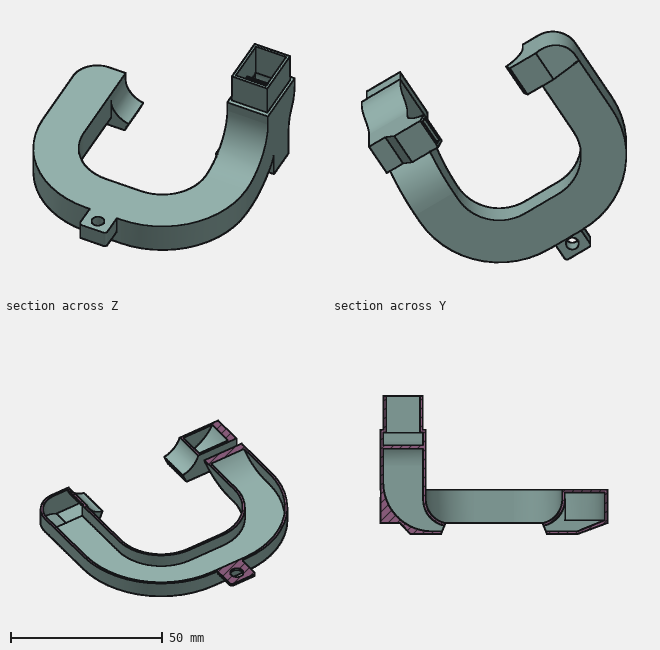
import cadquery as cq
import math


overall_width = 75.0
arm_width = 15.0
arm_height = 11.0
arm_end_y = 62.5
outer_radius = 31.0
end_corner_radius = 8.85
wall = 1.0

riser_length = 20.0
riser_overhang = 4.5
collar_height = 3.8
socket_height = 11.2
socket_step_y = 1.5
vane_thickness = 0.7
vane_shift = 5.6
vane_drop = 15.0

sweep_start_y = 33.75
sweep_radius = 22.8

nozzle_length = 11.0
nozzle_depth = 3.7
nozzle_reach = 6.5
nozzle_lip_reach = 5.0
nozzle_floor_reach = 5.1
right_slope_reach = 8.6
nozzle_bend_radius = 8.0

tab_width = 10.0
tab_length = 8.0
tab_height = 6.2
tab_corner_radius = 1.0
tab_hole_diameter = 4.2

half_width = overall_width / 2
arm_inner_x = half_width - arm_width
arm_middle_x = half_width - arm_width / 2
cavity_width = arm_width - 2 * wall
riser_back_y = arm_end_y + riser_overhang
riser_front_y = riser_back_y - riser_length
riser_middle_y = riser_back_y - riser_length / 2
riser_bend_radius = riser_front_y - outer_radius
bend_top_z = arm_height + riser_bend_radius
riser_top_z = bend_top_z + collar_height
nozzle_bend_z = math.sqrt(nozzle_bend_radius**2 - (nozzle_bend_radius - nozzle_reach) ** 2)
nozzle_floor_z = wall - nozzle_depth
chamber_back_y = arm_end_y - wall
chamber_front_y = arm_end_y - nozzle_length + wall


def arc_point(center, radius, degrees):
    """Point on a circle, with the angle counted from the first axis."""
    angle = math.radians(degrees)
    return center[0] + radius * math.cos(angle), center[1] + radius * math.sin(angle)


def u_channel(inset):
    """U-shaped channel, shrunk on every side by an inset."""
    end_y = arm_end_y - inset
    center_x = half_width - outer_radius
    left = (-center_x, outer_radius)
    right = (center_x, outer_radius)
    big = outer_radius - inset
    small = outer_radius - arm_width + inset
    return (
        cq.Workplane("XY", origin=(0, 0, inset))
        .moveTo(-half_width + inset, end_y)
        .lineTo(*arc_point(left, big, 180))
        .threePointArc(arc_point(left, big, 225), arc_point(left, big, 270))
        .lineTo(*arc_point(right, big, 270))
        .threePointArc(arc_point(right, big, 315), arc_point(right, big, 0))
        .lineTo(half_width - inset, end_y)
        .lineTo(arm_inner_x + inset, end_y)
        .lineTo(*arc_point(right, small, 0))
        .threePointArc(arc_point(right, small, 315), arc_point(right, small, 270))
        .lineTo(*arc_point(left, small, 270))
        .threePointArc(arc_point(left, small, 225), arc_point(left, small, 180))
        .lineTo(-arm_inner_x - inset, end_y)
        .close()
        .extrude(arm_height - 2 * inset)
    )


def left_corner_waste(inset):
    """Material outside the rounded rear corner of the left arm."""
    radius = end_corner_radius - inset
    center = (end_corner_radius - half_width, arm_end_y - end_corner_radius)
    return (
        cq.Workplane("XY", origin=(0, 0, -nozzle_depth))
        .moveTo(*arc_point(center, radius, 90))
        .threePointArc(arc_point(center, radius, 135), arc_point(center, radius, 180))
        .lineTo(center[0] - radius, center[1] + radius)
        .close()
        .extrude(nozzle_depth + arm_height)
    )


def side_sketch(side, back_y):
    """XZ plane at an arm's inner face, first axis pointing outward (side: -1 left, 1 right)."""
    return cq.Workplane(
        cq.Plane(origin=(side * arm_inner_x, back_y, 0), xDir=(side, 0, 0), normal=(0, -side, 0))
    )


def nozzle_body(side, slope_reach):
    """Nozzle curving out of the arm's inner face, with a sloped underside."""
    bend = (-nozzle_bend_radius, nozzle_bend_z)
    tip_angle = -math.degrees(math.acos((nozzle_bend_radius - nozzle_reach) / nozzle_bend_radius))
    return (
        side_sketch(side, arm_end_y)
        .moveTo(*arc_point(bend, nozzle_bend_radius, tip_angle))
        .lineTo(-nozzle_lip_reach, -nozzle_depth)
        .lineTo(nozzle_floor_reach, -nozzle_depth)
        .lineTo(slope_reach, 0)
        .lineTo(slope_reach, arm_height)
        .lineTo(0, arm_height)
        .lineTo(0, nozzle_bend_z)
        .threePointArc(
            arc_point(bend, nozzle_bend_radius, tip_angle / 2),
            arc_point(bend, nozzle_bend_radius, tip_angle),
        )
        .close()
        .extrude(side * nozzle_length)
    )


def nozzle_cavity(side, slope_reach):
    """Air space of a nozzle, running out through its tip."""
    bend = (-nozzle_bend_radius, nozzle_bend_z)
    radius = nozzle_bend_radius + wall
    outer_reach = min(slope_reach, arm_width - wall)
    return (
        side_sketch(side, chamber_back_y)
        .moveTo(*arc_point(bend, radius, -90))
        .lineTo(-nozzle_bend_radius, nozzle_floor_z)
        .lineTo(nozzle_floor_reach, nozzle_floor_z)
        .lineTo(outer_reach, wall)
        .lineTo(outer_reach, arm_height - wall)
        .lineTo(wall, arm_height - wall)
        .lineTo(wall, nozzle_bend_z)
        .threePointArc(arc_point(bend, radius, -45), arc_point(bend, radius, -90))
        .close()
        .extrude(side * (chamber_back_y - chamber_front_y))
    )


def s_curve_points(top, bottom, offset=0.0):
    """Mid, inflection, mid and end points of an S-curve from top to bottom in (Y, Z).

    The curve is vertical at both ends and bends toward -Y; the offset moves it toward -Y.
    """
    shift = top[0] - bottom[0]
    drop = top[1] - bottom[1]
    radius = (shift**2 + drop**2) / (4 * shift)
    sweep = math.degrees(2 * math.atan2(shift, drop))
    upper = (top[0] - radius, top[1])
    lower = (bottom[0] + radius, bottom[1])
    return (
        arc_point(upper, radius - offset, -sweep / 2),
        arc_point(upper, radius - offset, -sweep),
        arc_point(lower, radius + offset, 180 - sweep / 2),
        (bottom[0] - offset, bottom[1]),
    )


def riser_block(inset):
    """Riser from the underside of the right arm up to the collar, shrunk by an inset."""
    upper_mid, inflection, lower_mid, foot = s_curve_points(
        (riser_back_y, bend_top_z), (arm_end_y, arm_height), inset
    )
    bend = (outer_radius, bend_top_z)
    radius = riser_bend_radius + inset
    return (
        cq.Workplane("YZ", origin=(arm_inner_x + inset, 0, 0))
        .moveTo(riser_back_y - inset, riser_top_z - inset)
        .lineTo(riser_back_y - inset, bend_top_z)
        .threePointArc(upper_mid, inflection)
        .threePointArc(lower_mid, foot)
        .lineTo(arm_end_y - inset, inset)
        .lineTo(outer_radius, inset)
        .lineTo(*arc_point(bend, radius, -90))
        .threePointArc(arc_point(bend, radius, -45), arc_point(bend, radius, 0))
        .lineTo(riser_front_y + inset, riser_top_z - inset)
        .close()
        .extrude(arm_width - 2 * inset)
    )


def socket_prism(inset):
    """Socket on top of the collar, shrunk on its sides and lengthened downward by an inset."""
    return (
        cq.Workplane("XY", origin=(arm_middle_x, riser_middle_y, riser_top_z - inset))
        .rect(arm_width - 2 * (wall + inset), riser_length - 2 * (socket_step_y + inset))
        .extrude(socket_height + inset)
    )


def splitter_vane():
    """S-curved vane in the riser whose foot sweeps forward into the channel floor."""
    front_y = chamber_front_y - vane_thickness
    foot_radius = front_y - sweep_start_y
    foot = (sweep_start_y, wall + foot_radius)
    bottom = (chamber_front_y, foot[1])
    top = (bottom[0] + vane_shift, bottom[1] + vane_drop)
    back = s_curve_points(top, bottom)
    front = s_curve_points(top, bottom, vane_thickness)
    return (
        cq.Workplane("YZ", origin=(arm_inner_x + wall, 0, 0))
        .moveTo(*top)
        .threePointArc(back[0], back[1])
        .threePointArc(back[2], back[3])
        .lineTo(chamber_front_y, wall)
        .lineTo(sweep_start_y, wall)
        .threePointArc(arc_point(foot, foot_radius, -45), front[3])
        .threePointArc(front[2], front[1])
        .threePointArc(front[0], (top[0] - vane_thickness, top[1]))
        .close()
        .extrude(cavity_width)
    )


def underside_relief():
    """Space below the right arm, where its underside sweeps up to the nozzle's front face."""
    end_y = arm_end_y - nozzle_length
    center = (sweep_start_y, sweep_radius)
    end_angle = -math.degrees(math.acos((end_y - sweep_start_y) / sweep_radius))
    middle_angle = (end_angle - 90) / 2
    return (
        cq.Workplane("YZ", origin=(arm_inner_x, 0, 0))
        .moveTo(sweep_start_y, 0)
        .threePointArc(
            arc_point(center, sweep_radius, middle_angle),
            arc_point(center, sweep_radius, end_angle),
        )
        .lineTo(end_y, 0)
        .close()
        .extrude(arm_width)
    )


def right_nozzle_ramp():
    """Curved floor that turns the downward flow toward the right nozzle."""
    outer = arm_width - wall
    radius = riser_bend_radius
    bend = (outer - radius, nozzle_floor_z + radius)
    return (
        side_sketch(1, chamber_back_y)
        .moveTo(*arc_point(bend, radius, 0))
        .threePointArc(arc_point(bend, radius, -45), arc_point(bend, radius, -90))
        .lineTo(nozzle_floor_reach, nozzle_floor_z)
        .lineTo(right_slope_reach, wall)
        .lineTo(outer, wall)
        .close()
        .extrude(chamber_back_y - chamber_front_y)
    )


def mounting_tab():
    """Drilled tab at the front of the U, flush with its top face."""
    return (
        cq.Workplane("XY", origin=(0, -tab_length / 2, arm_height - tab_height))
        .rect(tab_width, tab_length)
        .extrude(tab_height)
        .edges("|Z and <Y")
        .fillet(tab_corner_radius)
        .faces(">Z")
        .workplane()
        .hole(tab_hole_diameter)
    )


body = (
    u_channel(0)
    .union(nozzle_body(-1, arm_width))
    .cut(left_corner_waste(0))
    .union(nozzle_body(1, right_slope_reach))
    .union(riser_block(0))
    .union(socket_prism(0))
    .union(mounting_tab())
)

air = (
    u_channel(wall)
    .union(nozzle_cavity(-1, arm_width))
    .cut(left_corner_waste(wall))
    .union(nozzle_cavity(1, right_slope_reach))
    .union(riser_block(wall))
    .union(socket_prism(wall))
    .cut(splitter_vane())
    .cut(right_nozzle_ramp())
)

result = body.cut(air).cut(underside_relief())